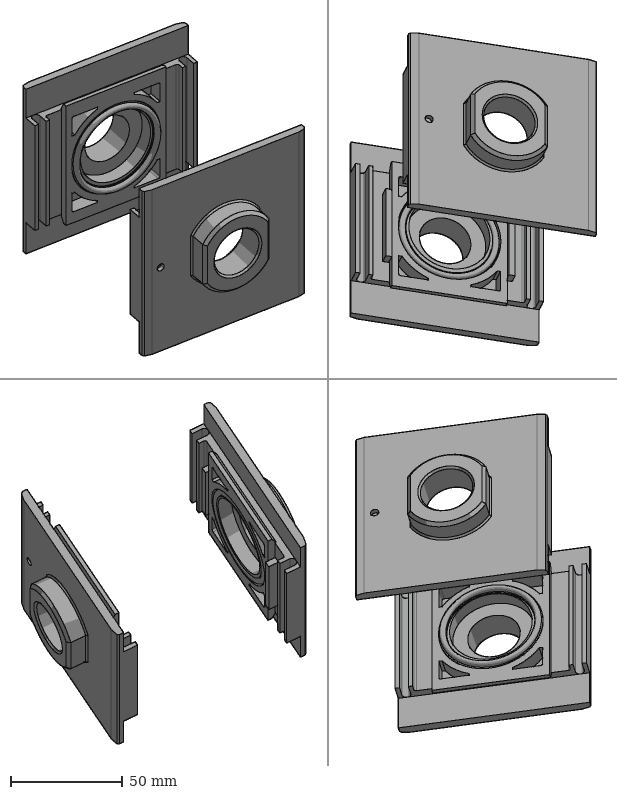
import cadquery as cq
import math


OVERALL_LENGTH = 119.8

PLATE_FRONT_X = 10.0
PLATE_BACK_X = 14.1
WEB_X = 17.7
INNER_FACE_X = 21.3
TAB_END_X = 22.8

PLATE_WIDTH = 88.0
PLATE_HEIGHT = 91.5
FLAT_WIDTH = 79.5
SHOULDER_WIDTH = 86.7
SHOULDER_DROP = 0.8
EDGE_DROP = 1.8

COLLAR_Z = 0.7

RAIL_HEIGHT = 58.2
RAIL_SLOT_Y = 39.9
RAIL_SLOT_WIDTH = 4.1
RAIL_INNER_Y = 35.9
RAIL_FILLET = 1.0

PAD_WIDTH = 54.1
PAD_HEIGHT = 66.3
LIP_ANGLE = 61.5
LIP_REACH = (PAD_HEIGHT - RAIL_HEIGHT) / 2
LIP_TIP_X = 19.3
LIP_ROOT_X = LIP_TIP_X - LIP_REACH / math.tan(math.radians(LIP_ANGLE))

COLLAR_DIAMETER = 42.0
COLLAR_FLATS = 35.9
COLLAR_CHAMFER = 1.5
COLLAR_FOOT = 0.8

BORE_DIAMETER = 24.1
BORE_CHAMFER = 1.0
COUNTERBORE_DIAMETER = 38.0
COUNTERBORE_X = PLATE_BACK_X

MARK_HOLE_DIAMETER = 3.7
MARK_HOLE_Y = 35.0
MARK_HOLE_DEPTH = 2.4

POCKET_WIDTH = 47.7
POCKET_HEIGHT = 52.9
POCKET_WALL_RADIUS = 27.4
POCKET_INNER_Y = 9.9
POCKET_INNER_Z = 15.9
POCKET_FLOOR_X = PLATE_BACK_X
POCKET_FILLET = 1.0

SEAL_SECTION = 3.0
SEAL_OUTER_DIAMETER = 47.0
GROOVE_OUTER_DIAMETER = 48.0
GROOVE_INNER_DIAMETER = 40.6
LIP_RECESS = 0.4
LEFT_SEAL_PROTRUSION = 2.3
RIGHT_SEAL_PROTRUSION = 0.4

TAB_INNER_Y = 27.4
TAB_OUTER_Y = 30.3
TAB_HEIGHT = 35.9


def box(x_start, x_end, width, height, y=0.0, z=0.0):
    """Block between two X stations, centred on the given Y and Z."""
    center = ((x_start + x_end) / 2, y, z)
    return cq.Workplane("XY").box(x_end - x_start, width, height).translate(center)


def disc(x_start, x_end, diameter, y=0.0, z=0.0):
    """Cylinder along X between two X stations."""
    plane = cq.Workplane("YZ", origin=(x_start, y, z))
    return plane.circle(diameter / 2).extrude(x_end - x_start)


def plate_blank():
    """Full-height plate whose outer face slopes back to bevelled side edges."""
    half = PLATE_WIDTH / 2
    flat = FLAT_WIDTH / 2
    shoulder = SHOULDER_WIDTH / 2
    shoulder_x = PLATE_FRONT_X + SHOULDER_DROP
    edge_x = PLATE_FRONT_X + EDGE_DROP
    outline = (
        cq.Workplane("XY", origin=(0, 0, -PLATE_HEIGHT / 2))
        .moveTo(PLATE_BACK_X, -half)
        .lineTo(PLATE_BACK_X, half)
        .lineTo(edge_x, half)
        .lineTo(shoulder_x, shoulder)
        .lineTo(PLATE_FRONT_X, flat)
        .lineTo(PLATE_FRONT_X, -flat)
        .lineTo(shoulder_x, -shoulder)
        .lineTo(edge_x, -half)
        .close()
    )
    return outline.extrude(PLATE_HEIGHT)


def rail_block():
    """Block behind the plate, hollowed to the web and slotted to leave two rails per side."""
    block = box(PLATE_BACK_X, INNER_FACE_X, PLATE_WIDTH, RAIL_HEIGHT, z=COLLAR_Z)
    recess = box(WEB_X, INNER_FACE_X, 2 * RAIL_INNER_Y, RAIL_HEIGHT, z=COLLAR_Z)
    block = block.cut(recess.edges("|Z and <X").fillet(RAIL_FILLET))
    slot_end_x = PLATE_BACK_X + RAIL_SLOT_WIDTH / 2
    for y in (-RAIL_SLOT_Y, RAIL_SLOT_Y):
        slot = box(slot_end_x, INNER_FACE_X, RAIL_SLOT_WIDTH, RAIL_HEIGHT, y, COLLAR_Z)
        rounded_end = (
            cq.Workplane("XY", origin=(slot_end_x, y, COLLAR_Z))
            .circle(RAIL_SLOT_WIDTH / 2)
            .extrude(RAIL_HEIGHT / 2, both=True)
        )
        block = block.cut(slot).cut(rounded_end)
    return block


def pad():
    """Raised pad, wider at its inner face where the lips overhang the rail block."""
    root = RAIL_HEIGHT / 2
    tip = PAD_HEIGHT / 2
    outline = (
        cq.Workplane("XZ", origin=(0, 0, COLLAR_Z))
        .moveTo(LIP_ROOT_X, -root)
        .lineTo(LIP_ROOT_X, root)
        .lineTo(LIP_TIP_X, tip)
        .lineTo(INNER_FACE_X, tip)
        .lineTo(INNER_FACE_X, -tip)
        .lineTo(LIP_TIP_X, -tip)
        .close()
    )
    return outline.extrude(PAD_WIDTH / 2, both=True)


def flatted_disc(x_start, x_end, grow=0.0):
    """Collar outline, round with two side flats, optionally grown outward."""
    diameter = COLLAR_DIAMETER + 2 * grow
    flats = COLLAR_FLATS + 2 * grow
    slab = box(x_start, x_end, flats, diameter, z=COLLAR_Z)
    return disc(x_start, x_end, diameter, z=COLLAR_Z).intersect(slab)


def collar():
    """Collar with a chamfered outer end and a bevelled foot on the plate."""
    body = flatted_disc(0, PLATE_BACK_X).faces("<X").chamfer(COLLAR_CHAMFER)
    foot_x = PLATE_FRONT_X - COLLAR_FOOT
    foot = flatted_disc(foot_x, PLATE_BACK_X, COLLAR_FOOT)
    return body.union(foot.faces("<X").chamfer(COLLAR_FOOT))


def bore():
    """Stepped through bore with a chamfered outer mouth."""
    mouth_radius = BORE_DIAMETER / 2 + BORE_CHAMFER
    profile = (
        cq.Workplane("XY")
        .lineTo(0, mouth_radius)
        .lineTo(BORE_CHAMFER, BORE_DIAMETER / 2)
        .lineTo(COUNTERBORE_X, BORE_DIAMETER / 2)
        .lineTo(COUNTERBORE_X, COUNTERBORE_DIAMETER / 2)
        .lineTo(INNER_FACE_X, COUNTERBORE_DIAMETER / 2)
        .lineTo(INNER_FACE_X, 0)
        .close()
    )
    return profile.revolve(360, (0, 0, 0), (1, 0, 0)).translate((0, 0, COLLAR_Z))


def corner_pockets():
    """Four pockets, square at the pad corners and curved around the seal groove."""
    block = box(POCKET_FLOOR_X, INNER_FACE_X, POCKET_WIDTH, POCKET_HEIGHT)
    block = block.edges("|X").fillet(POCKET_FILLET)
    block = block.cut(box(POCKET_FLOOR_X, INNER_FACE_X, 2 * POCKET_INNER_Y, POCKET_HEIGHT))
    block = block.cut(box(POCKET_FLOOR_X, INNER_FACE_X, POCKET_WIDTH, 2 * POCKET_INNER_Z))
    return block.cut(disc(POCKET_FLOOR_X, INNER_FACE_X, 2 * POCKET_WALL_RADIUS))


def seal_groove(protrusion):
    """Ring groove, with its recessed inner lip, leaving the seal proud by the protrusion."""
    floor_x = INNER_FACE_X - (SEAL_SECTION - protrusion)
    outer = disc(floor_x, INNER_FACE_X, GROOVE_OUTER_DIAMETER)
    lip = disc(floor_x, INNER_FACE_X - LIP_RECESS, GROOVE_INNER_DIAMETER)
    return outer.cut(lip)


def mark_hole():
    hole_end_x = PLATE_FRONT_X + MARK_HOLE_DEPTH
    return disc(PLATE_FRONT_X, hole_end_x, MARK_HOLE_DIAMETER, MARK_HOLE_Y, COLLAR_Z)


def tab(side):
    """Locking tab beside one side of the pad; side is -1 or 1."""
    width = TAB_OUTER_Y - TAB_INNER_Y
    center_y = side * (TAB_INNER_Y + TAB_OUTER_Y) / 2
    return box(WEB_X, TAB_END_X, width, TAB_HEIGHT, center_y)


def end_plate(seal_protrusion):
    body = plate_blank().union(rail_block()).union(pad()).union(collar())
    body = body.cut(bore()).cut(corner_pockets())
    return body.cut(seal_groove(seal_protrusion)).cut(mark_hole())


def seal_ring(protrusion):
    """Round-section seal resting on its groove floor."""
    section_radius = SEAL_SECTION / 2
    center_radius = SEAL_OUTER_DIAMETER / 2 - section_radius
    center = cq.Vector(INNER_FACE_X + protrusion - section_radius, 0, 0)
    torus = cq.Solid.makeTorus(center_radius, section_radius, center, cq.Vector(1, 0, 0))
    return cq.Workplane(torus)


def at_left(body):
    return body.translate((-OVERALL_LENGTH / 2, 0, 0))


def at_right(body):
    """Turn a body half around Z so that it faces the left plate."""
    turned = body.rotate((0, 0, 0), (0, 0, 1), 180)
    return turned.translate((OVERALL_LENGTH / 2, 0, 0))


left_plate = at_left(end_plate(LEFT_SEAL_PROTRUSION))
left_seal = at_left(seal_ring(LEFT_SEAL_PROTRUSION))

right_plate = at_right(end_plate(RIGHT_SEAL_PROTRUSION).union(tab(-1)).union(tab(1)))
right_seal = at_right(seal_ring(RIGHT_SEAL_PROTRUSION))

result = cq.Compound.makeCompound(
    [left_plate.val(), left_seal.val(), right_plate.val(), right_seal.val()]
)